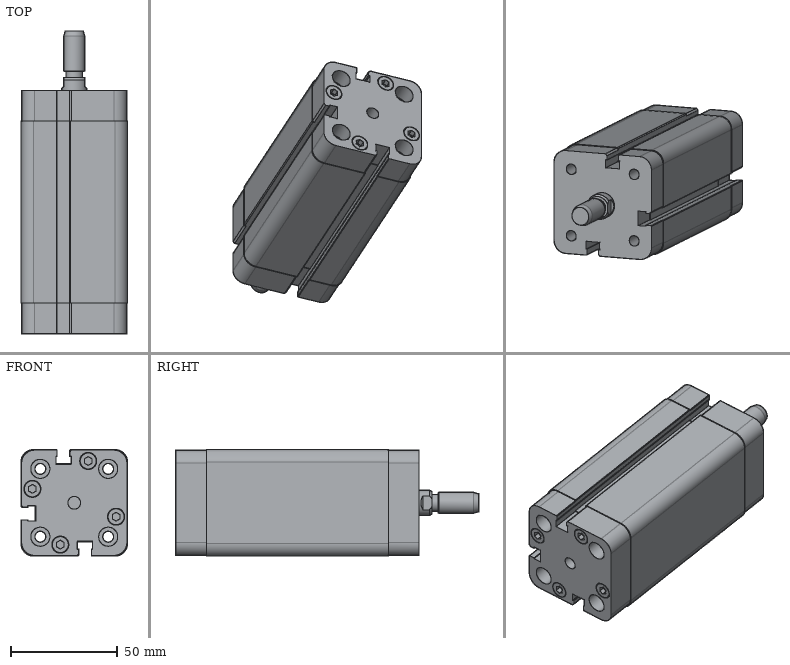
import cadquery as cq
import math

total_length = 142.5
front_face = -total_length / 2
rod_tip = total_length / 2
cap_length = 14.4
caps_and_body_length = 114.4
rear_face = front_face + caps_and_body_length
body_start = front_face + cap_length
body_end = rear_face - cap_length

body_width = 50.2
cap_inset = 0.35
cap_width = body_width - 2 * cap_inset
corner_radius = 6.0

slot_count = 3
slot_offset = 5.0
slot_inner_width = 7.0
slot_depth = 6.7
lip_floor = 21.8
mouth_offset = 5.1
mouth_width = 5.8
outer_edge_chamfer = 0.3
body_inner_edge_chamfer = 0.5
cap_inner_edge_chamfer = 0.9

mount_offset = 16.0
mount_hole_diameter = 5.0
mount_bore_diameter = 9.0
mount_bore_depth = 9.0

screw_along = 6.5
screw_out = 19.7
screw_bore_diameter = 8.0
screw_head_diameter = 7.5
screw_gap_depth = 1.4
hex_flats = 3.5
hex_depth = 3.0

center_hole_diameter = 6.0
center_hole_depth = 8.5

collar_diameter = 12.0
collar_end = 49.3
collar_chamfer_length = 1.3
collar_chamfer_depth = 0.7
neck_diameter = 8.0
thread_diameter = 10.0
thread_start = 52.0
thread_start_chamfer = 0.4
tip_diameter = 8.5
tip_chamfer_length = 2.5
flats_width = 10.0
flats_start = 45.0


def section_plane(y):
    """Plane across the Y axis at the given y, facing -Y, with local axes along global X and Z."""
    return cq.Workplane("XZ", origin=(0, y, 0))


def rounded_block(width, start, end):
    block = section_plane(start).rect(width, width).extrude(start - end)
    return block.edges("|Y").fillet(corner_radius)


def slot(width, chamfer, start, end):
    """Cutter for the slot in the top side, with both mouth edges broken, the one nearer the middle more."""
    top = width / 2
    slot_floor = top - slot_depth
    inner_left = -slot_offset - slot_inner_width / 2
    inner_right = inner_left + slot_inner_width
    mouth_left = -mouth_offset - mouth_width / 2
    mouth_right = mouth_left + mouth_width
    profile = [
        (inner_left, slot_floor),
        (inner_right, slot_floor),
        (inner_right, lip_floor),
        (mouth_right, lip_floor),
        (mouth_right, top - chamfer),
        (mouth_right + chamfer, top),
        (mouth_left - outer_edge_chamfer, top),
        (mouth_left, top - outer_edge_chamfer),
        (mouth_left, lip_floor),
        (inner_left, lip_floor),
    ]
    return section_plane(start).polyline(profile).close().extrude(start - end)


def slotted_block(width, chamfer, start, end):
    block = rounded_block(width, start, end)
    top_slot = slot(width, chamfer, start, end)
    for turn in range(slot_count):
        block = block.cut(top_slot.rotate((0, 0, 0), (0, 1, 0), -90 * turn))
    return block


def cut_mounting_holes(housing):
    corners = [(x, z) for x in (-mount_offset, mount_offset) for z in (-mount_offset, mount_offset)]
    front = section_plane(front_face).pushPoints(corners)
    through = front.circle(mount_hole_diameter / 2).extrude(-caps_and_body_length)
    bores = front.circle(mount_bore_diameter / 2).extrude(-mount_bore_depth)
    return housing.cut(through).cut(bores)


def cut_cap_screws(housing):
    """Ring gap around each flush screw head, and its hexagon socket with a corner pointing up."""
    screw_centers = [
        (screw_along, screw_out),
        (-screw_out, screw_along),
        (-screw_along, -screw_out),
        (screw_out, -screw_along),
    ]
    hex_radius = hex_flats / 2 / math.cos(math.pi / 6)
    corner_angles = [math.radians(90 + 60 * corner) for corner in range(6)]
    hexagon = [(hex_radius * math.cos(angle), hex_radius * math.sin(angle)) for angle in corner_angles]
    for x, z in screw_centers:
        at_screw = section_plane(front_face).center(x, z)
        gap = at_screw.circle(screw_bore_diameter / 2).circle(screw_head_diameter / 2).extrude(-screw_gap_depth)
        socket = at_screw.polyline(hexagon).close().extrude(-hex_depth)
        housing = housing.cut(gap).cut(socket)
    return housing


def cut_center_hole(housing):
    hole = section_plane(front_face).circle(center_hole_diameter / 2).extrude(-center_hole_depth)
    return housing.cut(hole)


def piston_rod():
    collar_radius = collar_diameter / 2
    thread_radius = thread_diameter / 2
    profile = [
        (0, body_end),
        (collar_radius, body_end),
        (collar_radius, collar_end - collar_chamfer_length),
        (collar_radius - collar_chamfer_depth, collar_end),
        (neck_diameter / 2, collar_end),
        (neck_diameter / 2, thread_start),
        (thread_radius - thread_start_chamfer, thread_start),
        (thread_radius, thread_start + thread_start_chamfer),
        (thread_radius, rod_tip - tip_chamfer_length),
        (tip_diameter / 2, rod_tip),
        (0, rod_tip),
    ]
    rod = cq.Workplane("XY").polyline(profile).close().revolve(360, (0, 0, 0), (0, 1, 0))

    flat = flats_width / 2
    flat_depth = collar_radius - flat
    cutter_profile = [
        (flat, flats_start),
        (flat + flat_depth, flats_start - flat_depth),
        (flat + flat_depth, collar_end),
        (flat, collar_end),
    ]
    cutter = cq.Workplane("XY").polyline(cutter_profile).close().extrude(collar_radius, both=True)
    return rod.cut(cutter).cut(cutter.mirror("YZ"))


housing = slotted_block(body_width, body_inner_edge_chamfer, body_start, body_end)
housing = housing.union(slotted_block(cap_width, cap_inner_edge_chamfer, front_face, body_start))
housing = housing.union(slotted_block(cap_width, cap_inner_edge_chamfer, body_end, rear_face))
housing = cut_mounting_holes(housing)
housing = cut_cap_screws(housing)
housing = cut_center_hole(housing)

result = housing.union(piston_rod())